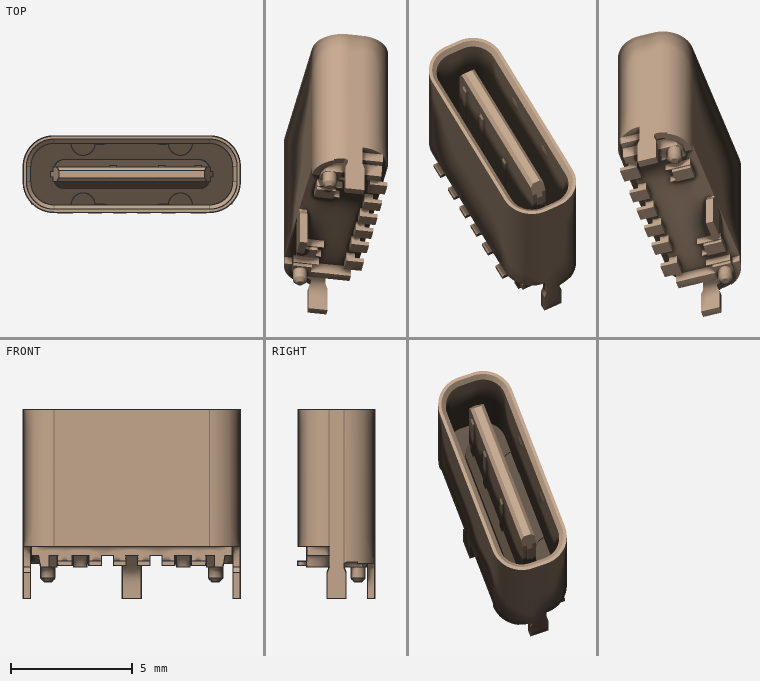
import cadquery as cq
import math

TOTAL_HEIGHT = 7.8
TOTAL_DEPTH = 3.18

SHELL_LENGTH = 8.94
SHELL_DEPTH = 3.16
CORNER_RADIUS = 1.27
WALL = 0.31
MOUTH_FLARE_WIDTH = 0.18
MOUTH_FLARE_HEIGHT = 0.18
FRONT_EDGE_Z = 2.15
REAR_EDGE_Z = 1.44
SIDE_RELIEF_WIDTH = 0.545
SIDE_RELIEF_RAMP = 0.12
SIDE_RELIEF_Z = 1.5
CAVITY_LENGTH = SHELL_LENGTH - 2 * WALL
CAVITY_DEPTH = SHELL_DEPTH - 2 * WALL
CAVITY_RADIUS = CORNER_RADIUS - WALL

LEG_WIDTH = 0.8
SIDE_NECK_WIDTH = SHELL_DEPTH - 2 * CORNER_RADIUS
REAR_NECK_WIDTH = 0.48
LEG_SHOULDER_HEIGHT = 0.23
SIDE_SHOULDER_Z = 1.07
REAR_SHOULDER_Z = 1.45

FLOOR_Z = 2.68
HOUSING_BASE_Z = 1.77
STANDOFF_Z = 1.3
HOUSING_LENGTH = 8.24
HOUSING_FRONT_Y = -1.23

DIMPLE_X = 1.3
DIMPLE_Z = 6.705
DIMPLE_RADIUS = 0.295
DIMPLE_RISE = 0.045
POCKET_X = 2.0
POCKET_RADIUS = 0.49
POCKET_DEPTH = 0.09

TONGUE_TOP_Z = 7.72
TONGUE_LENGTH = 6.49
TONGUE_THICKNESS = 0.59
TONGUE_TOP_LENGTH = 6.01
TONGUE_END_DROP = 0.49
TONGUE_TIP_WIDTH = 0.14
TONGUE_TIP_DROP = 0.14
RIB_LENGTH = 6.69
RIB_THICKNESS = 0.23
ROOT_LENGTH = 6.42
ROOT_THICKNESS = 1.2
ROOT_TOP_Z = 3.31
ROOT_DROP = 0.24
ROOT_CORNER_RADIUS = 0.43

CONTACTS = ((-2.745, 7.02), (-1.23, 7.02), (0.76, 6.44))
CONTACT_WIDTH = 0.27
CONTACT_RISE = 0.06
CONTACT_TIP_DROP = 0.13

TAILS = ((0.5, 0.52), (1.51, 0.54), (2.745, 0.61))
TAIL_TIP_Y = SHELL_DEPTH / 2 - TOTAL_DEPTH
TAIL_Z = (1.36, 1.55)
TOOTH_LENGTH = 0.36

RAIL_OUTER_X = 3.835
RAIL_FOOT_X = 3.755
RAIL_INNER_X = 3.4
RAIL_REAR_Y = 1.23
REAR_PAD_FRONT_Y = 0.45
OUTER_PAD_X = (3.075, RAIL_INNER_X)
INNER_PAD_X = (1.85, 2.405)
GUSSET_WIDTH = 0.06
GUSSET_LENGTH = 0.27
GUSSET_Z = 1.43

PEG_X = 3.45
PEG_Y = 0.885
PEG_RADIUS = 0.295
PEG_TIP_Z = 0.7
PEG_CHAMFER = PEG_RADIUS / 2


def block(x_range, y_range, z_range):
    """Box spanning the given ranges."""
    size = [r[1] - r[0] for r in (x_range, y_range, z_range)]
    corner = (x_range[0], y_range[0], z_range[0])
    return cq.Workplane("XY").box(*size, centered=False).translate(corner)


def rounded_block(length, depth, radius, z_range):
    """Upright block with rounded vertical edges."""
    return (
        cq.Workplane("XY")
        .workplane(offset=z_range[0])
        .rect(length, depth)
        .extrude(z_range[1] - z_range[0])
        .edges("|Z")
        .fillet(radius)
    )


def front_half(z_range):
    """Square-cornered space in front of the XZ plane, as large as the cavity."""
    half_length = CAVITY_LENGTH / 2
    return block((-half_length, half_length), (-CAVITY_DEPTH / 2, 0), z_range)


def both_sides(body):
    """The body together with its mirror image across the YZ plane."""
    return body.union(body.mirror("YZ"))


def shell_tube():
    """Rounded tube with a flared mouth."""
    outer = rounded_block(SHELL_LENGTH, SHELL_DEPTH, CORNER_RADIUS, (REAR_EDGE_Z, TOTAL_HEIGHT))
    cavity = rounded_block(CAVITY_LENGTH, CAVITY_DEPTH, CAVITY_RADIUS, (REAR_EDGE_Z, TOTAL_HEIGHT))
    rim_hole = rounded_block(
        CAVITY_LENGTH + 2 * MOUTH_FLARE_WIDTH,
        CAVITY_DEPTH + 2 * MOUTH_FLARE_WIDTH,
        CAVITY_RADIUS + MOUTH_FLARE_WIDTH,
        (0, TOTAL_HEIGHT),
    )
    flare_angle = math.degrees(math.atan2(MOUTH_FLARE_WIDTH, MOUTH_FLARE_HEIGHT))
    flare = rim_hole.faces(">Z").wires().toPending().workplane().extrude(
        -MOUTH_FLARE_HEIGHT, taper=flare_angle, combine=False
    )
    return outer.cut(cavity).cut(flare)


def trim_lower_edge(shell):
    """Raise the lower edge at the front, beside the side legs and along the flat rear wall."""
    half_length = SHELL_LENGTH / 2
    half_depth = SHELL_DEPTH / 2
    neck = SIDE_NECK_WIDTH / 2
    full_x = (-half_length, half_length)
    shell = shell.cut(block(full_x, (-half_depth, -neck), (0, FRONT_EDGE_Z)))
    relief = [
        (neck, REAR_EDGE_Z),
        (neck + SIDE_RELIEF_RAMP, SIDE_RELIEF_Z),
        (neck + SIDE_RELIEF_WIDTH, SIDE_RELIEF_Z),
        (neck + SIDE_RELIEF_WIDTH, REAR_EDGE_Z),
    ]
    shell = shell.cut(cq.Workplane("YZ").polyline(relief).close().extrude(half_length, both=True))
    flat_x = half_length - CORNER_RADIUS
    return shell.cut(block((-flat_x, flat_x), (neck, half_depth), (0, HOUSING_BASE_Z)))


def leg(neck_width, shoulder_z):
    """Solder leg in the XZ plane: a narrow neck above a wider blade, one wall thick towards +Y."""
    neck = neck_width / 2
    blade = LEG_WIDTH / 2
    outline = [
        (-blade, 0),
        (blade, 0),
        (blade, shoulder_z),
        (neck, shoulder_z + LEG_SHOULDER_HEIGHT),
        (neck, FRONT_EDGE_Z),
        (-neck, FRONT_EDGE_Z),
        (-neck, shoulder_z + LEG_SHOULDER_HEIGHT),
        (-blade, shoulder_z),
    ]
    return cq.Workplane("XZ").polyline(outline).close().extrude(-WALL)


def legs():
    """One leg on each rounded end and one on the rear wall."""
    rear = leg(REAR_NECK_WIDTH, REAR_SHOULDER_Z).translate((0, CAVITY_DEPTH / 2, 0))
    side = leg(SIDE_NECK_WIDTH, SIDE_SHOULDER_Z).translate((0, CAVITY_LENGTH / 2, 0))
    side = side.rotate((0, 0, 0), (0, 0, 1), 90)
    return both_sides(side).union(rear)


def dimples():
    """Two shallow pressed bumps inside each long wall."""
    sphere_radius = (DIMPLE_RADIUS**2 + DIMPLE_RISE**2) / (2 * DIMPLE_RISE)
    wall_y = CAVITY_DEPTH / 2
    ball = cq.Workplane("XY").sphere(sphere_radius)
    ball = ball.translate((DIMPLE_X, wall_y - DIMPLE_RISE + sphere_radius, DIMPLE_Z))
    reach = 2 * DIMPLE_RADIUS
    keep = block(
        (DIMPLE_X - reach, DIMPLE_X + reach),
        (wall_y - reach, wall_y + DIMPLE_RISE),
        (DIMPLE_Z - reach, DIMPLE_Z + reach),
    )
    pair = both_sides(ball.intersect(keep))
    return pair.union(pair.mirror("XZ"))


def housing():
    """Plug that closes the shell, squared off at the front, with four pockets in the cavity floor."""
    body = rounded_block(CAVITY_LENGTH, CAVITY_DEPTH, CAVITY_RADIUS, (HOUSING_BASE_Z, FLOOR_Z))
    half_length = HOUSING_LENGTH / 2
    front = block(
        (-half_length, half_length), (HOUSING_FRONT_Y, 0), (HOUSING_BASE_Z, FRONT_EDGE_Z)
    )
    centres = [(x, y) for x in (-POCKET_X, POCKET_X) for y in (-CAVITY_DEPTH / 2, CAVITY_DEPTH / 2)]
    pockets = (
        cq.Workplane("XY")
        .workplane(offset=FLOOR_Z - POCKET_DEPTH)
        .pushPoints(centres)
        .circle(POCKET_RADIUS)
        .extrude(POCKET_DEPTH)
    )
    front_space = rounded_block(
        CAVITY_LENGTH, CAVITY_DEPTH, CAVITY_RADIUS, (HOUSING_BASE_Z, FRONT_EDGE_Z)
    ).intersect(front_half((HOUSING_BASE_Z, FRONT_EDGE_Z)))
    return body.cut(pockets).cut(front_space).union(front)


def sloped_end_plate(length, thickness):
    """Upright plate on the cavity floor whose ends lean in to the tongue's top length."""
    half = length / 2
    half_top = TONGUE_TOP_LENGTH / 2
    steepness = 2 * TONGUE_END_DROP / (TONGUE_LENGTH - TONGUE_TOP_LENGTH)
    shoulder_z = TONGUE_TOP_Z - steepness * (half - half_top)
    profile = [
        (-half, FLOOR_Z),
        (half, FLOOR_Z),
        (half, shoulder_z),
        (half_top, TONGUE_TOP_Z),
        (-half_top, TONGUE_TOP_Z),
        (-half, shoulder_z),
    ]
    return cq.Workplane("XZ").polyline(profile).close().extrude(thickness / 2, both=True)


def chamfered_bar(thickness, top_thickness, shoulder_z, top_z):
    """Bar along X from the cavity floor up, as long as the tongue, with a narrowed top."""
    side = thickness / 2
    top_side = top_thickness / 2
    section = [
        (-side, FLOOR_Z),
        (side, FLOOR_Z),
        (side, shoulder_z),
        (top_side, top_z),
        (-top_side, top_z),
        (-side, shoulder_z),
    ]
    return cq.Workplane("YZ").polyline(section).close().extrude(TONGUE_LENGTH / 2, both=True)


def tongue():
    """Central blade with sloped ends, chamfered long edges, a sloped root and a mid rib."""
    tip_thickness = TONGUE_THICKNESS - 2 * TONGUE_TIP_WIDTH
    tip_shoulder_z = TONGUE_TOP_Z - TONGUE_TIP_DROP
    blade = sloped_end_plate(TONGUE_LENGTH, TONGUE_THICKNESS).intersect(
        chamfered_bar(TONGUE_THICKNESS, tip_thickness, tip_shoulder_z, TONGUE_TOP_Z)
    )
    root = rounded_block(
        ROOT_LENGTH, ROOT_THICKNESS, ROOT_CORNER_RADIUS, (FLOOR_Z, ROOT_TOP_Z)
    ).intersect(
        chamfered_bar(ROOT_THICKNESS, TONGUE_THICKNESS, ROOT_TOP_Z - ROOT_DROP, ROOT_TOP_Z)
    )
    rib = sloped_end_plate(RIB_LENGTH, RIB_THICKNESS)
    return blade.union(root).union(rib)


def contacts():
    """Contact strips with sloped tips, the rear row being the front row turned half round."""
    face_y = -TONGUE_THICKNESS / 2
    row = cq.Workplane("XY")
    for x, top_z in CONTACTS:
        section = [
            (0, FLOOR_Z),
            (face_y - CONTACT_RISE, FLOOR_Z),
            (face_y - CONTACT_RISE, top_z - CONTACT_TIP_DROP),
            (face_y, top_z),
            (0, top_z),
        ]
        strip = cq.Workplane("YZ").polyline(section).close().extrude(CONTACT_WIDTH / 2, both=True)
        row = row.union(strip.translate((x, 0, 0)))
    return row.union(row.rotate((0, 0, 0), (0, 0, 1), 180))


def solder_tails():
    """Teeth along the front of the housing, each with a flat tail reaching forward."""
    row = cq.Workplane("XY")
    for x, width in TAILS:
        span = (x - width / 2, x + width / 2)
        tooth_y = (HOUSING_FRONT_Y, HOUSING_FRONT_Y + TOOTH_LENGTH)
        row = row.union(block(span, tooth_y, (TAIL_Z[0], HOUSING_BASE_Z)))
        row = row.union(block(span, (TAIL_TIP_Y, HOUSING_FRONT_Y), TAIL_Z))
    return both_sides(row)


def gusset(edge_x, width):
    """Wedge beside a rear pad that widens forward from the front corner of the pad."""
    plan = [
        (edge_x, REAR_PAD_FRONT_Y),
        (edge_x + width, REAR_PAD_FRONT_Y - GUSSET_LENGTH),
        (edge_x + width, RAIL_REAR_Y),
        (edge_x, RAIL_REAR_Y),
    ]
    wedge = cq.Workplane("XY").workplane(offset=GUSSET_Z).polyline(plan).close()
    return wedge.extrude(HOUSING_BASE_Z - GUSSET_Z)


def standoffs():
    """Side rails with a sloped outer face and two rear pads on each side."""
    outline = [
        (RAIL_INNER_X, HOUSING_BASE_Z),
        (RAIL_OUTER_X, HOUSING_BASE_Z),
        (RAIL_FOOT_X, STANDOFF_Z),
        (RAIL_INNER_X, STANDOFF_Z),
    ]
    rail = cq.Workplane("XZ", origin=(0, RAIL_REAR_Y, 0)).polyline(outline).close()
    feet = rail.extrude(RAIL_REAR_Y - HOUSING_FRONT_Y)
    for span in (OUTER_PAD_X, INNER_PAD_X):
        pad_y = (REAR_PAD_FRONT_Y, RAIL_REAR_Y)
        feet = feet.union(block(span, pad_y, (STANDOFF_Z, HOUSING_BASE_Z)))
        feet = feet.union(gusset(span[0], -GUSSET_WIDTH)).union(gusset(span[1], GUSSET_WIDTH))
    levels = (STANDOFF_Z, HOUSING_BASE_Z)
    footprint = rounded_block(CAVITY_LENGTH, CAVITY_DEPTH, CAVITY_RADIUS, levels)
    return both_sides(feet.intersect(footprint.union(front_half(levels))))


def pegs():
    """Two locating pegs with chamfered tips."""
    peg = (
        cq.Workplane("XY")
        .workplane(offset=PEG_TIP_Z)
        .center(PEG_X, PEG_Y)
        .circle(PEG_RADIUS)
        .extrude(HOUSING_BASE_Z - PEG_TIP_Z)
        .faces("<Z")
        .chamfer(PEG_CHAMFER)
    )
    return both_sides(peg)


result = trim_lower_edge(shell_tube())
for feature in (legs, dimples, housing, tongue, contacts, solder_tails, standoffs, pegs):
    result = result.union(feature())
result = result.clean().solids()